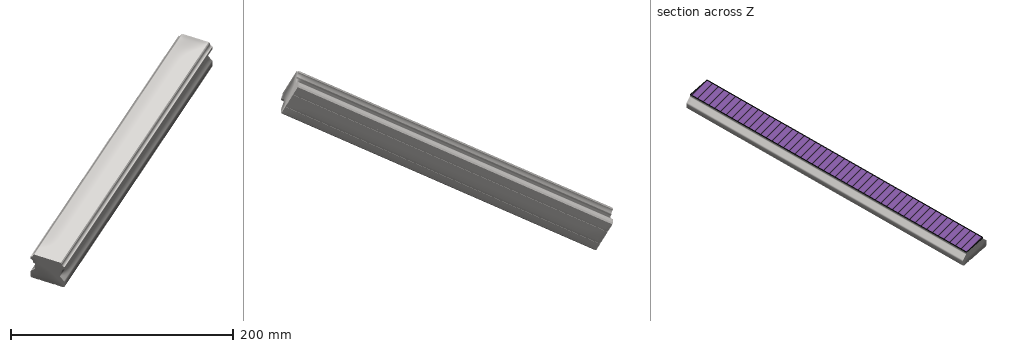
import cadquery as cq

length = 320.0
width = 34.0
height = 29.0
half_width = width / 2

head_half = 14.0
top_bevel = 1.0
flange_top = 25.3
flange_bottom = 22.5
flange_top_round = 0.3
upper_groove_edge = 16.3
upper_groove_radius = 3.0
lower_groove_radius = half_width - head_half
lower_groove_end = flange_bottom - lower_groove_radius
head_bottom = 19.0

neck_half = 12.0
neck_top = 18.2
neck_round = 1.3
foot_top = 7.0
neck_bottom = 12.0
foot_round = 2.2
foot_bevel = 1.3

base_groove_offset = 7.5
base_groove_width = 2.0
base_groove_depth = 0.3

pick_reach = 0.15


def long_edge(x, z):
    """Selector for the edge along Y that passes through (x, z)."""
    return cq.selectors.BoxSelector(
        (x - pick_reach, -pick_reach, z - pick_reach),
        (x + pick_reach, pick_reach, z + pick_reach),
    )


def make_half_rail():
    """Half of the rail on the +X side, with its long edges rounded."""
    half = (
        cq.Workplane("XZ")
        .lineTo(half_width - foot_bevel, 0)
        .lineTo(half_width, foot_bevel)
        .lineTo(half_width, foot_top)
        .lineTo(neck_half, neck_bottom)
        .lineTo(neck_half, neck_top)
        .lineTo(head_half, head_bottom)
        .lineTo(head_half, lower_groove_end)
        .radiusArc((half_width, flange_bottom), lower_groove_radius)
        .lineTo(half_width, flange_top)
        .lineTo(upper_groove_edge, flange_top)
        .radiusArc((head_half, height - top_bevel), upper_groove_radius)
        .lineTo(head_half - top_bevel, height)
        .lineTo(0, height)
        .close()
        .extrude(length / 2, both=True)
    )
    rounds = (
        (half_width, flange_top, flange_top_round),
        (neck_half, neck_top, neck_round),
        (neck_half, neck_bottom, neck_round),
        (half_width, foot_top, foot_round),
    )
    for x, z, radius in rounds:
        half = half.edges(long_edge(x, z)).fillet(radius)
    return half


def make_base_groove(x):
    """Cutter for one groove along the underside, centred at x."""
    return (
        cq.Workplane("XY")
        .center(x, 0)
        .rect(base_groove_width, length)
        .extrude(base_groove_depth)
    )


half_rail = make_half_rail()
rail = half_rail.union(half_rail.mirror("YZ"))
for side in (-1, 1):
    rail = rail.cut(make_base_groove(side * base_groove_offset))
result = rail